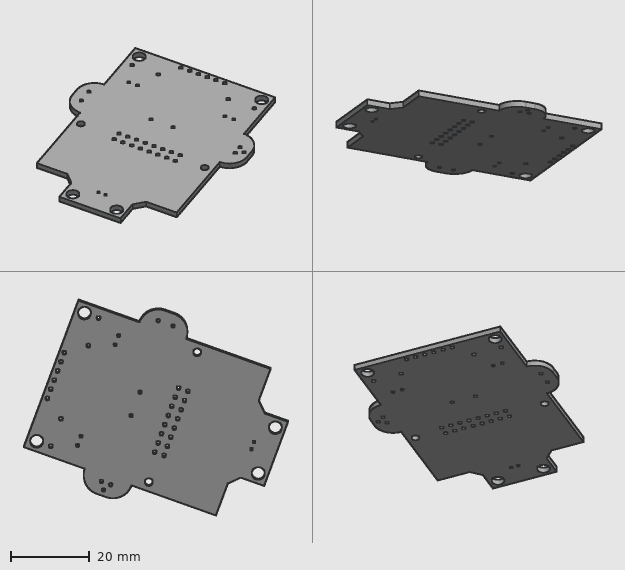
import cadquery as cq

PITCH = 2.54
HALF_PITCH = PITCH / 2

THICKNESS = 1.6
BOARD_LENGTH = 24 * PITCH
BODY_HALF_WIDTH = 8 * PITCH
BODY_BOTTOM_Y = 3.5 * PITCH
TAIL_HALF_WIDTH = 3.5 * PITCH
TAIL_SHOULDER_Y = 2.5 * PITCH
TAIL_SHOULDER_HALF_WIDTH = 4.5 * PITCH

EAR_CENTER_Y = 15 * PITCH
EAR_HALF_WIDTH = 10 * PITCH
EAR_HALF_HEIGHT = 2.5 * PITCH
EAR_RADIUS = EAR_HALF_WIDTH - BODY_HALF_WIDTH

MOUNTING_DIAMETER = 3.3
LOCATING_DIAMETER = 2.0
TOP_HEADER_DIAMETER = 1.02
DUAL_HEADER_DIAMETER = 1.0
SWITCH_DIAMETER = 1.02
EAR_HOLE_DIAMETER = 0.9
LEAD_DIAMETER = 0.81
CENTER_PAIR_DIAMETER = 0.9
TAIL_LEAD_DIAMETER = 0.7

UPPER_MOUNTING_X = 7 * PITCH
UPPER_MOUNTING_Y = 23 * PITCH
LOWER_MOUNTING_X = 2.5 * PITCH
LOWER_MOUNTING_Y = PITCH
TOP_HEADER_COUNT = 6
TOP_HEADER_Y = BOARD_LENGTH - HALF_PITCH
DUAL_HEADER_COUNT = 8
DUAL_HEADER_CENTER_X = HALF_PITCH
DUAL_HEADER_CENTER_Y = 27.96
LOCATING_X = 18.0
LOCATING_Y = DUAL_HEADER_CENTER_Y
SWITCH_INNER_X = 4 * PITCH
SWITCH_OUTER_X = 7 * PITCH
SWITCH_Y = 21.5 * PITCH
LEAD_INNER_X = 5 * PITCH
LEAD_OUTER_X = 6 * PITCH
LEAD_Y = 19 * PITCH
CENTER_PAIR_X = 3.25
LEFT_EAR_HOLE_X = -22.35
LEFT_EAR_HOLE_SPACING = 4.0
RIGHT_EAR_PAIR_X = 21.975
RIGHT_EAR_TIP_X = 23.875
TAIL_LEAD_X = 1.0
TAIL_LEAD_Y = TAIL_SHOULDER_Y


def make_board():
    half_outline = [
        (0, 0),
        (TAIL_HALF_WIDTH, 0),
        (TAIL_HALF_WIDTH, TAIL_SHOULDER_Y),
        (TAIL_SHOULDER_HALF_WIDTH, BODY_BOTTOM_Y),
        (BODY_HALF_WIDTH, BODY_BOTTOM_Y),
        (BODY_HALF_WIDTH, BOARD_LENGTH),
        (0, BOARD_LENGTH),
    ]
    half_body = cq.Workplane("XY").polyline(half_outline).close().extrude(THICKNESS)
    body = half_body.union(half_body.mirror("YZ"))
    ears = (
        cq.Workplane("XY")
        .center(0, EAR_CENTER_Y)
        .rect(2 * EAR_HALF_WIDTH, 2 * EAR_HALF_HEIGHT)
        .extrude(THICKNESS)
        .edges("|Z")
        .fillet(EAR_RADIUS)
    )
    return body.union(ears).clean()


def mirrored(x, y):
    """Return a pair of points placed symmetrically about X = 0."""
    return [(-x, y), (x, y)]


def pin_row(count, center_x, y):
    """Return points one pitch apart, centered on center_x."""
    first_x = center_x - (count - 1) * HALF_PITCH
    return [(first_x + i * PITCH, y) for i in range(count)]


def drill(board, diameter, points):
    """Cut through holes at the given points."""
    holes = cq.Workplane("XY").pushPoints(points).circle(diameter / 2).extrude(THICKNESS)
    return board.cut(holes)


def drill_mounting_holes(board):
    points = mirrored(UPPER_MOUNTING_X, UPPER_MOUNTING_Y)
    points += mirrored(LOWER_MOUNTING_X, LOWER_MOUNTING_Y)
    board = drill(board, MOUNTING_DIAMETER, points)
    return drill(board, LOCATING_DIAMETER, mirrored(LOCATING_X, LOCATING_Y))


def drill_headers(board):
    board = drill(board, TOP_HEADER_DIAMETER, pin_row(TOP_HEADER_COUNT, 0, TOP_HEADER_Y))
    for offset in (-HALF_PITCH, HALF_PITCH):
        row_y = DUAL_HEADER_CENTER_Y + offset
        row = pin_row(DUAL_HEADER_COUNT, DUAL_HEADER_CENTER_X, row_y)
        board = drill(board, DUAL_HEADER_DIAMETER, row)
    return board


def drill_lead_holes(board):
    switch_points = mirrored(SWITCH_INNER_X, SWITCH_Y) + mirrored(SWITCH_OUTER_X, SWITCH_Y)
    board = drill(board, SWITCH_DIAMETER, switch_points)
    lead_points = mirrored(LEAD_INNER_X, LEAD_Y) + mirrored(LEAD_OUTER_X, LEAD_Y)
    board = drill(board, LEAD_DIAMETER, lead_points)
    board = drill(board, CENTER_PAIR_DIAMETER, mirrored(CENTER_PAIR_X, EAR_CENTER_Y))
    return drill(board, TAIL_LEAD_DIAMETER, mirrored(TAIL_LEAD_X, TAIL_LEAD_Y))


def drill_ear_holes(board):
    left_offset = LEFT_EAR_HOLE_SPACING / 2
    points = [
        (LEFT_EAR_HOLE_X, EAR_CENTER_Y - left_offset),
        (LEFT_EAR_HOLE_X, EAR_CENTER_Y + left_offset),
        (RIGHT_EAR_PAIR_X, EAR_CENTER_Y - HALF_PITCH),
        (RIGHT_EAR_PAIR_X, EAR_CENTER_Y + HALF_PITCH),
        (RIGHT_EAR_TIP_X, EAR_CENTER_Y),
    ]
    return drill(board, EAR_HOLE_DIAMETER, points)


result = make_board()
result = drill_mounting_holes(result)
result = drill_headers(result)
result = drill_lead_holes(result)
result = drill_ear_holes(result)